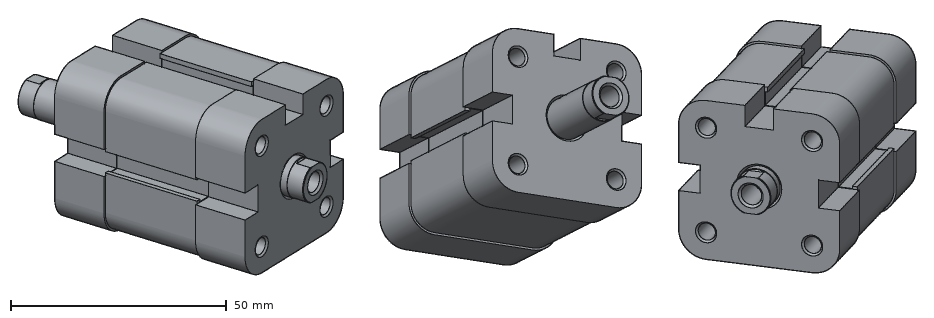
import cadquery as cq
import math

FRONT_ROD_REACH = 21.0
CAP_LENGTH = 14.0
BARREL_LENGTH = 26.0
REAR_ROD_REACH = 6.0
TOTAL_LENGTH = FRONT_ROD_REACH + 2 * CAP_LENGTH + BARREL_LENGTH + REAR_ROD_REACH
FRONT_CAP_X = FRONT_ROD_REACH
BARREL_X = FRONT_CAP_X + CAP_LENGTH
REAR_CAP_X = BARREL_X + BARREL_LENGTH

CAP_SIDE = 39.5
BARREL_SIDE = 38.5
BOLT_PITCH = 26.0
BOLT_HOLE_DIAMETER = 4.2
BOLT_CHAMFER = 0.5

CAP_SLOT_WIDTH = 7.0
SLOT_FLOOR = 14.5
BARREL_SLOT_INSET = 0.2
BARREL_SLOT_MOUTH = 5.5
LIP_THICKNESS = 1.2

ROD_DIAMETER = 10.0
NOSE_DIAMETER = 9.8
NOSE_LENGTH = 4.5
ACROSS_FLATS = 9.1
FLAT_LENGTH = 4.0
TIP_CHAMFER = 0.2
BORE_CHAMFER = 0.6

SOCKET_DIAMETER = 5.0
SOCKET_CHAMFER = 0.6
SOCKET_DEPTH = 9.7
DRILL_POINT_ANGLE = 118


def bar_along_x(x_start, length, width_y, width_z, centre_z=0):
    """Rectangular bar running along X from x_start, centred on Y = 0."""
    return cq.Workplane("XY").box(length, width_y, width_z, centered=(False, True, True)).translate(
        (x_start, 0, centre_z)
    )


def disc_along_x(x_start, length, diameter):
    """Round bar on the X axis from x_start."""
    return cq.Workplane("YZ", origin=(x_start, 0, 0)).circle(diameter / 2).extrude(length)


def rounded_block(x_start, length, side):
    """Square block with corners concentric with the bolt holes, drilled for the bolts and the rod."""
    corner_radius = (side - BOLT_PITCH) / 2
    return (
        bar_along_x(x_start, length, side, side)
        .edges("|X")
        .fillet(corner_radius)
        .cut(disc_along_x(x_start, length, ROD_DIAMETER))
        .faces("<X")
        .workplane(origin=(x_start, 0, 0))
        .rect(BOLT_PITCH, BOLT_PITCH, forConstruction=True)
        .vertices()
        .hole(BOLT_HOLE_DIAMETER)
    )


def cut_slots(block, cutter):
    """Cut the upper slot and its copies on the two lateral sides; the underside stays plain."""
    for angle in (-90, 0, 90):
        block = block.cut(cutter.rotate((0, 0, 0), (1, 0, 0), angle))
    return block


def slot_cutter(x_start, length, width, inner, outer):
    """Cutter for a straight slot between two heights above the rod axis."""
    return bar_along_x(x_start, length, width, outer - inner, (inner + outer) / 2)


def make_cap(x_start, outer_face):
    """End cap: full-width slots, chamfered bolt holes and rod bore on its outer face."""
    cap = rounded_block(x_start, CAP_LENGTH, CAP_SIDE)
    cap = cap.faces(outer_face).edges(cq.selectors.RadiusNthSelector(0)).chamfer(BOLT_CHAMFER)
    cap = cap.faces(outer_face).edges(cq.selectors.RadiusNthSelector(1)).chamfer(BORE_CHAMFER)
    slot = slot_cutter(x_start, CAP_LENGTH, CAP_SLOT_WIDTH, SLOT_FLOOR, CAP_SIDE / 2)
    return cut_slots(cap, slot)


def make_barrel():
    """Barrel between the caps, with lipped T-slots."""
    barrel = rounded_block(BARREL_X, BARREL_LENGTH, BARREL_SIDE)
    face = BARREL_SIDE / 2
    lip_underside = face - LIP_THICKNESS
    slot_width = CAP_SLOT_WIDTH - 2 * BARREL_SLOT_INSET
    slot_floor = SLOT_FLOOR + BARREL_SLOT_INSET
    chamber = slot_cutter(BARREL_X, BARREL_LENGTH, slot_width, slot_floor, lip_underside)
    mouth = slot_cutter(BARREL_X, BARREL_LENGTH, BARREL_SLOT_MOUTH, slot_floor, face)
    return cut_slots(barrel, chamber.union(mouth))


def socket_cutter():
    """Chamfered blind hole with a conical bottom, opening at X = 0."""
    radius = SOCKET_DIAMETER / 2
    point_depth = radius / math.tan(math.radians(DRILL_POINT_ANGLE / 2))
    return (
        cq.Workplane("XY")
        .polyline(
            [
                (0, 0),
                (0, radius + SOCKET_CHAMFER),
                (SOCKET_CHAMFER, radius),
                (SOCKET_DEPTH, radius),
                (SOCKET_DEPTH + point_depth, 0),
            ]
        )
        .close()
        .revolve(360, (0, 0, 0), (1, 0, 0))
    )


def flat_cutter():
    """Cutter for one wrench flat on top of the tip at X = 0, ending in a 45 degree run-out."""
    flat_height = ACROSS_FLATS / 2
    top = ROD_DIAMETER
    return (
        cq.Workplane("XZ")
        .polyline(
            [
                (0, flat_height),
                (FLAT_LENGTH, flat_height),
                (FLAT_LENGTH + top - flat_height, top),
                (0, top),
            ]
        )
        .close()
        .extrude(ROD_DIAMETER / 2, both=True)
    )


def make_rod():
    """Through rod with a stepped nose, two wrench flats and a socket at each tip."""
    rod = disc_along_x(NOSE_LENGTH, TOTAL_LENGTH - 2 * NOSE_LENGTH, ROD_DIAMETER)
    front_nose = disc_along_x(0, NOSE_LENGTH, NOSE_DIAMETER).faces("<X").chamfer(TIP_CHAMFER)
    rear_nose = disc_along_x(TOTAL_LENGTH - NOSE_LENGTH, NOSE_LENGTH, NOSE_DIAMETER)
    rear_nose = rear_nose.faces(">X").chamfer(TIP_CHAMFER)
    rod = rod.union(front_nose).union(rear_nose)
    upper_flat = flat_cutter()
    tip_cutters = [socket_cutter(), upper_flat, upper_flat.mirror("XY")]
    for cutter in tip_cutters:
        rod = rod.cut(cutter)
        rod = rod.cut(cutter.mirror("YZ", (TOTAL_LENGTH / 2, 0, 0)))
    return rod


front_cap = make_cap(FRONT_CAP_X, "<X")
barrel = make_barrel()
rear_cap = make_cap(REAR_CAP_X, ">X")
rod = make_rod()

result = cq.Compound.makeCompound([front_cap.val(), barrel.val(), rear_cap.val(), rod.val()])